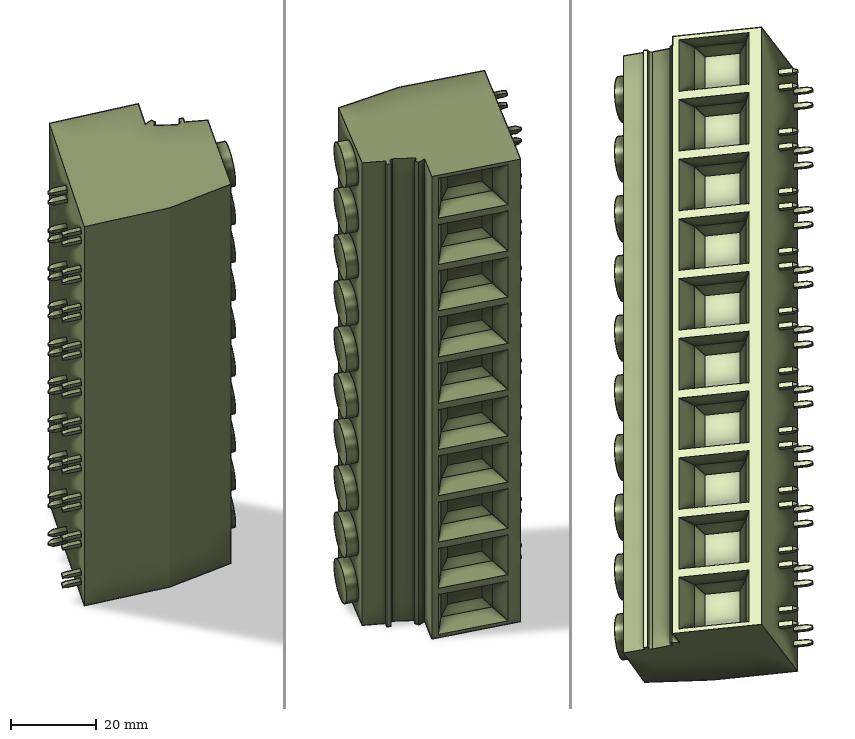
import cadquery as cq

pole_count = 10
pole_pitch = 15.0
length = pole_count * pole_pitch
pole_centers = [pole_pitch * (i + 0.5) for i in range(pole_count)]

width = 31.0
shelf_y = 21.6
shoulder_y = 20.7
top_left = (8.8, 36.0)
top_right = (28.2, 36.3)

rail_tip_x = 6.8
rail_top_y = 30.6
rail_bottom_y = 29.5
rail_root_x = 8.0
lower_wall_top = (8.2, 28.8)
groove_y = 23.5
lower_wall_bottom_x = 7.0
ridge_groove_x = 6.6
ridge_peak = (6.2, 24.0)
ridge_nose = (5.4, 23.2)
ridge_foot_x = 6.2

screw_x = 17.1
screw_radius = 5.4
screw_top_y = 39.0

funnel_y = 11.5
funnel_height_z = 12.9
mouth_size_y = 17.0
throat_size_y = 12.5
throat_depth = 5.5
floor_size_y = 8.4
floor_size_z = 9.0
floor_depth = 7.4

pin_length = 4.5
pin_tip_length = 1.2
pin_spacing_z = 3.8
pin_size_z = 1.2
pin_embed = 1.5
front_pin_x = 15.5
front_pin_size_x = 1.4
front_tip_size = 0.5
rear_pin_x = 27.9
rear_pin_size_x = 1.0
rear_tip_size_z = 0.6


def housing():
    outline = [
        (0, 0),
        (width, 0),
        (width, shoulder_y),
        top_right,
        top_left,
        (rail_root_x, rail_top_y),
        (rail_tip_x, rail_top_y),
        (rail_tip_x, rail_bottom_y),
        (rail_root_x, rail_bottom_y),
        lower_wall_top,
        (lower_wall_bottom_x, groove_y),
        (ridge_groove_x, groove_y),
        ridge_peak,
        ridge_nose,
        (ridge_foot_x, shelf_y),
        (0, shelf_y),
    ]
    return cq.Workplane("XY").polyline(outline).close().extrude(length)


def screw(z):
    plane = cq.Plane(origin=(screw_x, shelf_y, z), xDir=(1, 0, 0), normal=(0, 1, 0))
    return cq.Workplane(plane).circle(screw_radius).extrude(screw_top_y - shelf_y)


def taper(plane, start_size, end_size, distance):
    return cq.Workplane(plane).rect(*start_size).workplane(offset=distance).rect(*end_size).loft()


def funnel(z):
    def plane_at(x):
        return cq.Plane(origin=(x, funnel_y, z), xDir=(0, 1, 0), normal=(1, 0, 0))

    mouth = (mouth_size_y, funnel_height_z)
    throat = (throat_size_y, funnel_height_z)
    floor = (floor_size_y, floor_size_z)
    outer = taper(plane_at(0), mouth, throat, throat_depth)
    inner = taper(plane_at(throat_depth), throat, floor, floor_depth - throat_depth)
    return outer.union(inner)


def pin(x, z, size_x, tip_size):
    def plane_at(y):
        return cq.Plane(origin=(x, y, z), xDir=(1, 0, 0), normal=(0, -1, 0))

    section = (size_x, pin_size_z)
    shank_length = pin_length - pin_tip_length
    shank = cq.Workplane(plane_at(pin_embed)).rect(*section).extrude(pin_embed + shank_length)
    return shank.union(taper(plane_at(-shank_length), section, tip_size, pin_tip_length))


result = housing()
for pole_z in pole_centers:
    result = result.cut(funnel(pole_z)).union(screw(pole_z))
    for pin_z in (pole_z - pin_spacing_z / 2, pole_z + pin_spacing_z / 2):
        front_tip = (front_tip_size, front_tip_size)
        rear_tip = (rear_pin_size_x, rear_tip_size_z)
        result = result.union(pin(front_pin_x, pin_z, front_pin_size_x, front_tip))
        result = result.union(pin(rear_pin_x, pin_z, rear_pin_size_x, rear_tip))